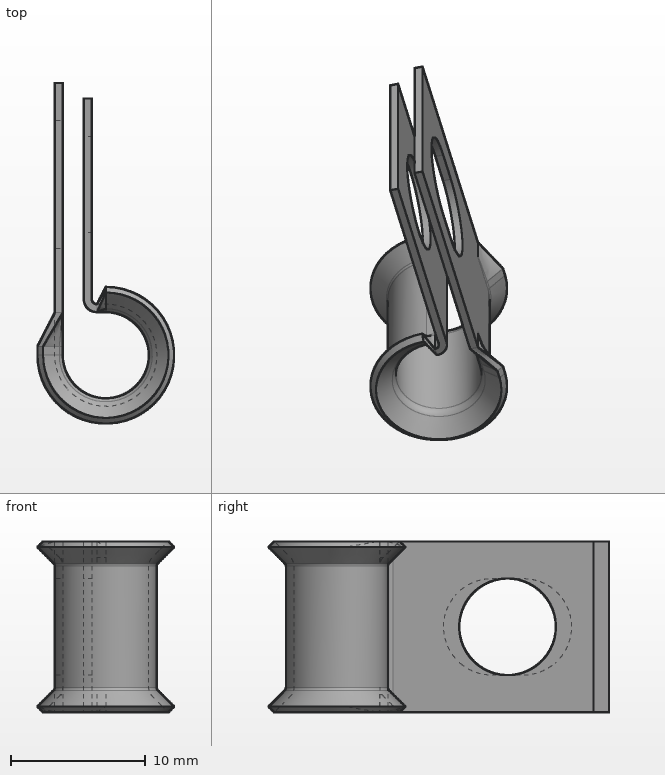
import cadquery as cq
import math

thickness = 0.6
width = 12.7
loop_outer_radius = 3.8
flare_outer_radius = 5.09
flare_angle = math.radians(45)
fold_radius = 0.3

long_leg_end = 20.22
short_leg_end = 19.08
short_leg_outer_x = -1.65
bend_inner_radius = 0.38

flare_straight_length = 0.65
long_blend_end = 3.16

hole_diameter = 7.16
slot_length = 9.52
hole_y = 12.68
loop_sweep = 270

diagonal = math.sqrt(0.5)
half_width = width / 2
loop_inner_radius = loop_outer_radius - thickness
bend_outer_radius = bend_inner_radius + thickness
bend_x = short_leg_outer_x + bend_outer_radius
bend_y = loop_inner_radius + bend_outer_radius
sin_flare = math.sin(flare_angle)
cos_flare = math.cos(flare_angle)

rim_inner_radius = flare_outer_radius - thickness * cos_flare
rim_outer_z = half_width - thickness * sin_flare

fold_center_radius = loop_outer_radius + fold_radius
flare_corner_z = rim_outer_z - (flare_outer_radius - loop_outer_radius) / math.tan(flare_angle)
fold_z = flare_corner_z - fold_radius * math.tan(flare_angle / 2)


def fold_point(radius, angle):
    """Point on a fold arc, as distance from the loop axis and height."""
    return (fold_center_radius - radius * math.cos(angle), fold_z + radius * math.sin(angle))


def flare_section(plane):
    """Upper flare cross-section; local x runs outward and local y runs up."""
    inner_fold_radius = fold_radius + thickness
    return (
        cq.Workplane(plane)
        .moveTo(loop_inner_radius, fold_z)
        .lineTo(loop_outer_radius, fold_z)
        .threePointArc(fold_point(fold_radius, flare_angle / 2), fold_point(fold_radius, flare_angle))
        .lineTo(flare_outer_radius, rim_outer_z)
        .lineTo(rim_inner_radius, half_width)
        .lineTo(*fold_point(inner_fold_radius, flare_angle))
        .threePointArc(fold_point(inner_fold_radius, flare_angle / 2), (loop_inner_radius, fold_z))
        .close()
    )


def flat_section(plane):
    """Flat strip section, with its sides split to match the flare section."""
    outer_fold_z = fold_point(fold_radius, flare_angle)[1]
    inner_fold_z = fold_point(fold_radius + thickness, flare_angle)[1]
    return (
        cq.Workplane(plane)
        .moveTo(loop_inner_radius, fold_z)
        .lineTo(loop_outer_radius, fold_z)
        .lineTo(loop_outer_radius, outer_fold_z)
        .lineTo(loop_outer_radius, half_width)
        .lineTo(loop_inner_radius, half_width)
        .lineTo(loop_inner_radius, inner_fold_z)
        .close()
    )


def section_plane(origin, outward):
    """Upright plane at origin with its local x along outward."""
    out = cq.Vector(*outward)
    return cq.Plane(origin=origin, xDir=outward, normal=out.cross(cq.Vector(0, 0, 1)).toTuple())


def flare_blend(start, end, outward):
    """Ruled transition from the flare at start to the flat strip at end."""
    sections = [
        flare_section(section_plane(start, outward)).val(),
        flat_section(section_plane(end, outward)).val(),
    ]
    return cq.Workplane(cq.Solid.makeLoft(sections, True))


def strip(height):
    """Loop strip of the given height, from the flare start to the short bend."""
    return (
        cq.Workplane("XY", origin=(0, 0, -height / 2))
        .moveTo(-loop_outer_radius, long_blend_end)
        .lineTo(-loop_outer_radius, 0)
        .threePointArc((loop_outer_radius * diagonal, -loop_outer_radius * diagonal), (0, loop_outer_radius))
        .lineTo(bend_x, loop_outer_radius)
        .lineTo(bend_x, loop_inner_radius)
        .lineTo(0, loop_inner_radius)
        .threePointArc((loop_inner_radius * diagonal, -loop_inner_radius * diagonal), (-loop_inner_radius, 0))
        .lineTo(-loop_inner_radius, long_blend_end)
        .close()
        .extrude(height)
    )


def long_leg():
    """Flat leg with a slot."""
    leg = cq.Workplane("XY").box(thickness, long_leg_end - long_blend_end, width, centered=(False, False, True))
    leg = leg.translate((-loop_outer_radius, long_blend_end, 0))
    slot = (
        cq.Workplane("YZ", origin=(-loop_outer_radius, hole_y, 0))
        .slot2D(slot_length, hole_diameter)
        .extrude(thickness)
    )
    return leg.cut(slot)


def short_leg():
    """Flat leg with a round hole and the bend leading into the loop."""
    inner_x = short_leg_outer_x + thickness
    leg = (
        cq.Workplane("XY", origin=(0, 0, -half_width))
        .moveTo(short_leg_outer_x, short_leg_end)
        .lineTo(short_leg_outer_x, bend_y)
        .threePointArc(
            (bend_x - bend_outer_radius * diagonal, bend_y - bend_outer_radius * diagonal),
            (bend_x, loop_inner_radius),
        )
        .lineTo(bend_x, loop_outer_radius)
        .threePointArc(
            (bend_x - bend_inner_radius * diagonal, bend_y - bend_inner_radius * diagonal),
            (inner_x, bend_y),
        )
        .lineTo(inner_x, short_leg_end)
        .close()
        .extrude(width)
    )
    hole = (
        cq.Workplane("YZ", origin=(short_leg_outer_x, hole_y, 0))
        .circle(hole_diameter / 2)
        .extrude(thickness)
    )
    return leg.cut(hole)


def upper_flare():
    """Flare around three quarters of the loop, with both ends flattened out."""
    loop_start = section_plane((0, 0, 0), (-1, 0, 0))
    ring = flare_section(loop_start).revolve(loop_sweep, (0, 0, 0), (0, 1, 0))
    straight = flare_section(loop_start).extrude(flare_straight_length)
    long_blend = flare_blend((0, flare_straight_length, 0), (0, long_blend_end, 0), (-1, 0, 0))
    short_blend = flare_blend((0, 0, 0), (bend_x, 0, 0), (0, 1, 0))
    return ring.union(straight).union(long_blend).union(short_blend)


flare = upper_flare()
result = (
    strip(2 * fold_z)
    .union(long_leg())
    .union(short_leg())
    .union(flare)
    .union(flare.mirror("XY"))
)